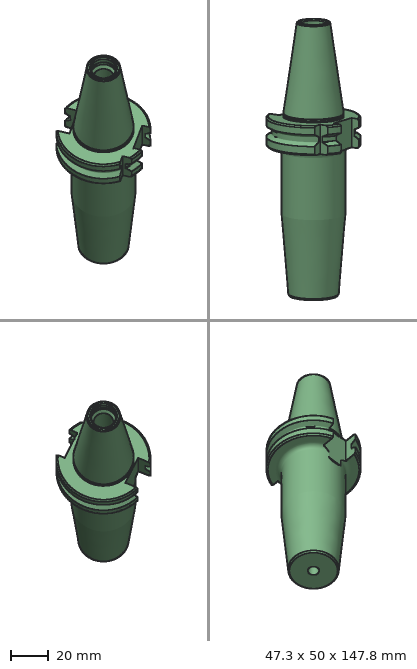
import cadquery as cq
import math

TOTAL_LENGTH = 147.8
NOSE_CONE_TOP = 44.3
FLANGE_BOTTOM = 80.8
GROOVE_CENTER = 89.0
FLANGE_TOP = 96.8
TAPER_BOTTOM = 98.6

NOSE_RADIUS = 13.5
NOSE_CHAMFER_RADIAL = 0.7
NOSE_CHAMFER_HEIGHT = 1.0
BODY_RADIUS = 17.0
FLANGE_FILLET = 3.0

FLANGE_RADIUS = 25.0
FLANGE_CHAMFER = 0.9
GROOVE_RADIUS = 22.2
GROOVE_FLOOR_WIDTH = 3.1
GROOVE_HALF_ANGLE = 30.0
GROOVE_FILLET = 0.5

TAPER_RATIO = 7 / 24
TAPER_TOP_RADIUS = 8.9
TAPER_TOP_CHAMFER = 0.6
NECK_RADIUS = 15.7
NECK_CHAMFER = 0.5

SLOT_WIDTH = 16.1
LEFT_SLOT_FLOOR = 16.4
RIGHT_SLOT_FLOOR = 18.9
NOTCH_OFFSET = 15.0

PILOT_RADIUS = 6.5
PILOT_CHAMFER = 0.7
UNDERCUT_TOP_DEPTH = 3.4
UNDERCUT_BOTTOM_DEPTH = 5.6
UNDERCUT_RADIUS = 6.8
THREAD_RADIUS = 5.2
THREAD_DEPTH = 29.5
THROUGH_RADIUS = 3.0


def revolve_about_z(outline):
    """Turn a closed half section, drawn as (radius, height), about the Z axis."""
    return outline.close().revolve(360, (0, 0, 0), (0, 1, 0))


def taper_radius(height):
    return TAPER_TOP_RADIUS + (TOTAL_LENGTH - height) * TAPER_RATIO / 2


def turned_blank():
    groove_depth = FLANGE_RADIUS - GROOVE_RADIUS
    floor_half = GROOVE_FLOOR_WIDTH / 2
    mouth_half = floor_half + groove_depth * math.tan(math.radians(GROOVE_HALF_ANGLE))
    taper_bottom_radius = taper_radius(TAPER_BOTTOM)
    chamfer_bottom = TOTAL_LENGTH - TAPER_TOP_CHAMFER
    chamfered_rim = FLANGE_RADIUS - FLANGE_CHAMFER
    fillet_drop = FLANGE_FILLET * (1 - math.sqrt(0.5))

    outline = (
        cq.Workplane("XZ")
        .moveTo(0, 0)
        .lineTo(NOSE_RADIUS - NOSE_CHAMFER_RADIAL, 0)
        .lineTo(NOSE_RADIUS, NOSE_CHAMFER_HEIGHT)
        .lineTo(BODY_RADIUS, NOSE_CONE_TOP)
        .lineTo(BODY_RADIUS, FLANGE_BOTTOM - FLANGE_FILLET)
        .threePointArc(
            (BODY_RADIUS + fillet_drop, FLANGE_BOTTOM - fillet_drop),
            (BODY_RADIUS + FLANGE_FILLET, FLANGE_BOTTOM),
        )
        .lineTo(chamfered_rim, FLANGE_BOTTOM)
        .lineTo(FLANGE_RADIUS, FLANGE_BOTTOM + FLANGE_CHAMFER)
        .lineTo(FLANGE_RADIUS, GROOVE_CENTER - mouth_half)
        .lineTo(GROOVE_RADIUS, GROOVE_CENTER - floor_half)
        .lineTo(GROOVE_RADIUS, GROOVE_CENTER + floor_half)
        .lineTo(FLANGE_RADIUS, GROOVE_CENTER + mouth_half)
        .lineTo(FLANGE_RADIUS, FLANGE_TOP - FLANGE_CHAMFER)
        .lineTo(chamfered_rim, FLANGE_TOP)
        .lineTo(NECK_RADIUS + NECK_CHAMFER, FLANGE_TOP)
        .lineTo(NECK_RADIUS, FLANGE_TOP + NECK_CHAMFER)
        .lineTo(NECK_RADIUS, TAPER_BOTTOM - NECK_CHAMFER)
        .lineTo(taper_bottom_radius, TAPER_BOTTOM)
        .lineTo(taper_radius(chamfer_bottom), chamfer_bottom)
        .lineTo(TAPER_TOP_RADIUS - TAPER_TOP_CHAMFER, TOTAL_LENGTH)
        .lineTo(0, TOTAL_LENGTH)
    )
    corner_reach = (floor_half + mouth_half) / 2
    groove_corners = cq.selectors.BoxSelector(
        (-1.5, -1.5, GROOVE_CENTER - corner_reach),
        (1.5, 1.5, GROOVE_CENTER + corner_reach),
    )
    return revolve_about_z(outline).edges(groove_corners).fillet(GROOVE_FILLET)


def stepped_bore():
    undercut_top = TOTAL_LENGTH - UNDERCUT_TOP_DEPTH
    undercut_bottom = TOTAL_LENGTH - UNDERCUT_BOTTOM_DEPTH
    undercut_flank = UNDERCUT_RADIUS - PILOT_RADIUS
    thread_top = undercut_bottom - (UNDERCUT_RADIUS - THREAD_RADIUS)
    thread_floor = TOTAL_LENGTH - THREAD_DEPTH

    outline = (
        cq.Workplane("XZ")
        .moveTo(0, 0)
        .lineTo(THROUGH_RADIUS, 0)
        .lineTo(THROUGH_RADIUS, thread_floor)
        .lineTo(THREAD_RADIUS, thread_floor)
        .lineTo(THREAD_RADIUS, thread_top)
        .lineTo(UNDERCUT_RADIUS, undercut_bottom)
        .lineTo(UNDERCUT_RADIUS, undercut_top - undercut_flank)
        .lineTo(PILOT_RADIUS, undercut_top)
        .lineTo(PILOT_RADIUS, TOTAL_LENGTH - PILOT_CHAMFER)
        .lineTo(PILOT_RADIUS + PILOT_CHAMFER, TOTAL_LENGTH)
        .lineTo(0, TOTAL_LENGTH)
    )
    return revolve_about_z(outline)


def drive_slot(floor_distance, side):
    """Flat-floored slot across the flange on one X side (-1 or +1), rounded at its lower end."""
    half_width = SLOT_WIDTH / 2
    return (
        cq.Workplane("YZ", origin=(side * floor_distance, 0, 0))
        .moveTo(half_width, FLANGE_TOP)
        .lineTo(half_width, FLANGE_BOTTOM)
        .threePointArc((0, FLANGE_BOTTOM - half_width), (-half_width, FLANGE_BOTTOM))
        .lineTo(-half_width, FLANGE_TOP)
        .close()
        .extrude(side * FLANGE_RADIUS)
    )


def orientation_notch():
    """Square-cornered notch through the flange in the +X, -Y quadrant."""
    return (
        cq.Workplane("XY", origin=(NOTCH_OFFSET, -NOTCH_OFFSET, FLANGE_BOTTOM))
        .rect(FLANGE_RADIUS, -FLANGE_RADIUS, centered=False)
        .extrude(FLANGE_TOP - FLANGE_BOTTOM)
    )


result = (
    turned_blank()
    .cut(stepped_bore())
    .cut(drive_slot(LEFT_SLOT_FLOOR, -1))
    .cut(drive_slot(RIGHT_SLOT_FLOOR, 1))
    .cut(orientation_notch())
)